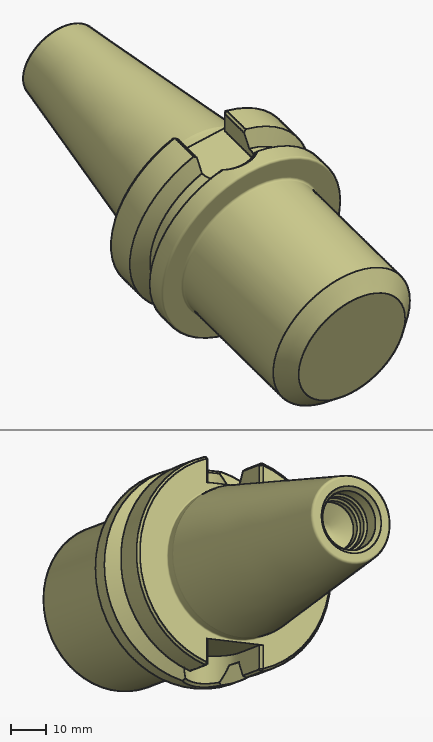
import cadquery as cq
import math

length = 140.4
cone_length = 64.7
cone_small_radius = 25.4 / 2
cone_big_radius = 44.2 / 2
cone_tip_fillet = 0.8
relief_start = 63.9
relief_radius = 21.9
relief_fillet = 0.4

flange_start = 67.4
flange_end = 92.4
flange_radius = 63.0 / 2
flange_fillet = 0.7
flange_chamfer = 0.7
groove_radius = 26.5
groove_floor_start = 80.0
groove_floor_end = 83.8
groove_wall_angle = 30.0

nose_radius = 24.0
nose_chamfer_length = 4.9
nose_face_radius = 18.7
nose_fillet = 0.7

slot_width = 16.5
slot_floor = 22.6
slot_end = 88.3
slot_chamfer = 0.8

bore_mouth_radius = 9.7
bore_mouth_depth = 1.3
pilot_radius = 8.5
pilot_depth = 6.0
step_radius = 7.9
step_depth = 8.7
thread_radius = 7.2
thread_depth = 11.5
drill_tip_angle = 118.0

groove_wall_run = (flange_radius - groove_radius) * math.tan(math.radians(groove_wall_angle))
margin = 0.07


def revolve_about_x(points):
    """Turn a closed (x, radius) outline about the X axis."""
    return cq.Workplane("XY").polyline(points).close().revolve(360, (0, 0, 0), (1, 0, 0))


def edges_within(x_range, y_range, z_range):
    """Selector for the edges that lie wholly inside a box."""
    low, high = zip(x_range, y_range, z_range)
    return cq.selectors.BoxSelector(
        tuple(value - margin for value in low),
        tuple(value + margin for value in high),
        boundingbox=True,
    )


def make_body():
    cone_end_radius = cone_small_radius + (
        (cone_big_radius - cone_small_radius) * relief_start / cone_length
    )
    body = revolve_about_x([
        (0, 0),
        (0, cone_small_radius),
        (relief_start, cone_end_radius),
        (cone_length, relief_radius),
        (flange_start, relief_radius),
        (flange_start, flange_radius - flange_chamfer),
        (flange_start + flange_chamfer, flange_radius),
        (groove_floor_start - groove_wall_run, flange_radius),
        (groove_floor_start, groove_radius),
        (groove_floor_end, groove_radius),
        (groove_floor_end + groove_wall_run, flange_radius),
        (flange_end, flange_radius),
        (flange_end, nose_radius),
        (length - nose_chamfer_length, nose_radius),
        (length, nose_face_radius),
        (length, 0),
    ])
    for x, radius, fillet in (
        (flange_start, relief_radius, relief_fillet),
        (flange_end, nose_radius, nose_fillet),
        (0, cone_small_radius, cone_tip_fillet),
        (flange_end, flange_radius, flange_fillet),
    ):
        span = (-radius, radius)
        corner = edges_within((x, x), span, span)
        body = body.edges(corner).edges(cq.selectors.RadiusNthSelector(-1)).fillet(fillet)
    return body


def make_slot():
    """Round-ended drive slot open toward the cone, on the +Z side."""
    half = slot_width / 2
    arc_centre = slot_end - half
    return (
        cq.Workplane("XY", origin=(0, 0, slot_floor))
        .moveTo(relief_start, -half)
        .lineTo(arc_centre, -half)
        .threePointArc((slot_end, 0), (arc_centre, half))
        .lineTo(relief_start, half)
        .close()
        .extrude(flange_radius)
    )


def make_bore():
    tip_length = thread_radius / math.tan(math.radians(drill_tip_angle / 2))
    return revolve_about_x([
        (0, 0),
        (0, bore_mouth_radius),
        (bore_mouth_depth, pilot_radius),
        (pilot_depth, pilot_radius),
        (pilot_depth + pilot_radius - step_radius, step_radius),
        (step_depth, step_radius),
        (step_depth + step_radius - thread_radius, thread_radius),
        (thread_depth, thread_radius),
        (thread_depth + tip_length, 0),
    ])


def add_slot(body):
    """Cut the +Z slot and chamfer its wall edges and its rounded end."""
    half = slot_width / 2
    above_floor = (slot_floor, flange_radius)
    wall_length = (flange_start, groove_floor_start - groove_wall_run)
    rounded_end = (groove_floor_end + groove_wall_run, slot_end)
    rim = (
        edges_within(wall_length, (half, half), above_floor)
        + edges_within(wall_length, (-half, -half), above_floor)
        + edges_within(rounded_end, (-half, half), above_floor)
    )
    return body.cut(make_slot()).edges(rim).chamfer(slot_chamfer)


result = make_body().cut(make_bore())
for _ in range(2):
    result = add_slot(result).rotate((0, 0, 0), (1, 0, 0), 180)